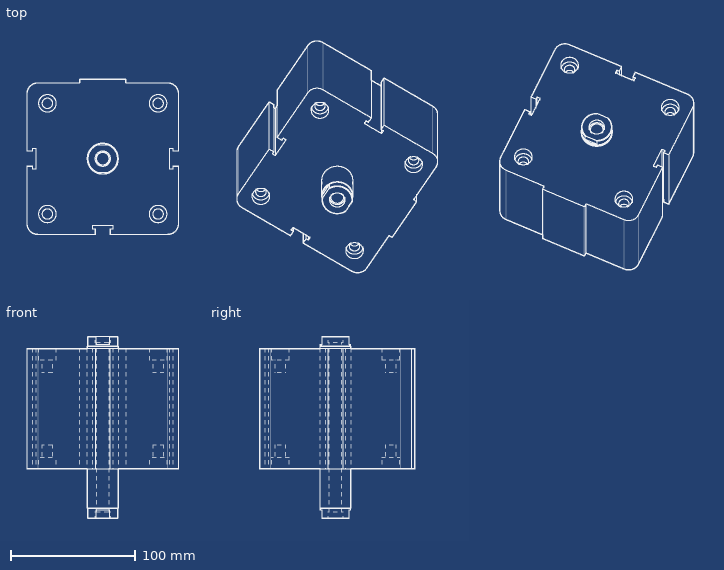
import cadquery as cq

HOUSING_SIDE = 122.0
HOUSING_HEIGHT = 96.7
CORNER_RADIUS = 8.8

PAD_WIDTH = 37.2
PAD_HEIGHT = 3.0
PAD_CORNER_RADIUS = 0.5

SLOT_MOUTH_WIDTH = 12.0
SLOT_INNER_WIDTH = 16.3
SLOT_LIP = 4.5
SLOT_DEPTH = 7.2
SLOT_ANGLES = (-90, 0, 180)

MOUNT_SPACING = 89.0
MOUNT_RECESS_DIAMETER = 14.0
MOUNT_RECESS_DEPTH = 9.2
MOUNT_HOLE_DIAMETER = 8.4
MOUNT_HOLE_DEPTH = 19.3

ROD_LENGTH = 146.5
ROD_DIAMETER = 25.0
ROD_TOP_LENGTH = 10.0
ROD_END_CHAMFER = 0.5
ROD_TOP = HOUSING_HEIGHT + ROD_TOP_LENGTH
ROD_BOTTOM = ROD_TOP - ROD_LENGTH
ROD_MIDDLE = (ROD_TOP + ROD_BOTTOM) / 2

END_DIAMETER = 24.5
END_LENGTH = 7.9
END_BEVEL = (ROD_DIAMETER - END_DIAMETER) / 2
FLATS_ACROSS = 22.0
FLATS_LENGTH = 6.7

BORE_DIAMETER = 10.1
COUNTERBORE_DIAMETER = 12.3
COUNTERBORE_DEPTH = 5.1


def cylinder(diameter, bottom, height):
    """Cylinder on the rod axis."""
    return cq.Workplane("XY").workplane(offset=bottom).circle(diameter / 2).extrude(height)


def both_ends(feature, mid_height):
    """The feature together with its mirror image about a horizontal plane."""
    return feature.union(feature.mirror("XY", (0, 0, mid_height)))


def make_pad():
    """Flat pad that stands out from the +Y side over the full height."""
    root = HOUSING_SIDE / 2 - CORNER_RADIUS
    length = CORNER_RADIUS + PAD_HEIGHT
    pad = cq.Workplane("XY").box(PAD_WIDTH, length, HOUSING_HEIGHT, centered=(True, False, False))
    pad = pad.edges("|Z and >Y").fillet(PAD_CORNER_RADIUS)
    return pad.translate((0, root, 0))


def make_t_slot(angle):
    """Full-height T-slot cutter, opening outwards in the given direction."""
    face = HOUSING_SIDE / 2
    mouth = (
        cq.Workplane("XY")
        .box(SLOT_DEPTH, SLOT_MOUTH_WIDTH, HOUSING_HEIGHT, centered=(False, True, False))
        .translate((face - SLOT_DEPTH, 0, 0))
    )
    inner = (
        cq.Workplane("XY")
        .box(SLOT_DEPTH - SLOT_LIP, SLOT_INNER_WIDTH, HOUSING_HEIGHT, centered=(False, True, False))
        .translate((face - SLOT_DEPTH, 0, 0))
    )
    return mouth.union(inner).rotate((0, 0, 0), (0, 0, 1), angle)


def drill_mount_holes(body, face):
    """Stepped blind hole at each corner of one end face."""
    return (
        body.faces(face)
        .workplane(origin=(0, 0, 0))
        .rect(MOUNT_SPACING, MOUNT_SPACING, forConstruction=True)
        .vertices()
        .cboreHole(MOUNT_HOLE_DIAMETER, MOUNT_RECESS_DIAMETER, MOUNT_RECESS_DEPTH, MOUNT_HOLE_DEPTH)
    )


def make_housing():
    body = cq.Workplane("XY").box(HOUSING_SIDE, HOUSING_SIDE, HOUSING_HEIGHT, centered=(True, True, False))
    body = body.edges("|Z").fillet(CORNER_RADIUS)
    body = body.union(make_pad())
    for angle in SLOT_ANGLES:
        body = body.cut(make_t_slot(angle))
    for face in (">Z", "<Z"):
        body = drill_mount_holes(body, face)
    return body.cut(cylinder(ROD_DIAMETER, 0, HOUSING_HEIGHT))


def make_flat_cutter():
    """Material outside the two wrench flats at the top end of the rod."""
    base = cq.Workplane("XY").workplane(offset=ROD_TOP - FLATS_LENGTH)
    blank = base.rect(2 * ROD_DIAMETER, 2 * ROD_DIAMETER).extrude(FLATS_LENGTH)
    kept = base.rect(2 * ROD_DIAMETER, FLATS_ACROSS).extrude(FLATS_LENGTH)
    return blank.cut(kept)


def make_rod():
    shank_length = ROD_LENGTH - 2 * END_LENGTH
    shank = cylinder(ROD_DIAMETER, ROD_BOTTOM + END_LENGTH, shank_length)
    shank = shank.faces(">Z or <Z").edges().chamfer(END_BEVEL)
    core = cylinder(END_DIAMETER, ROD_BOTTOM, ROD_LENGTH)
    core = core.faces(">Z or <Z").edges().chamfer(ROD_END_CHAMFER)
    rod = shank.union(core)
    counterbore = cylinder(COUNTERBORE_DIAMETER, ROD_TOP - COUNTERBORE_DEPTH, COUNTERBORE_DEPTH)
    for cutter in (make_flat_cutter(), counterbore):
        rod = rod.cut(both_ends(cutter, ROD_MIDDLE))
    return rod.cut(cylinder(BORE_DIAMETER, ROD_BOTTOM, ROD_LENGTH))


housing = make_housing()
rod = make_rod()
result = cq.Compound.makeCompound([housing.solids().val(), rod.solids().val()])